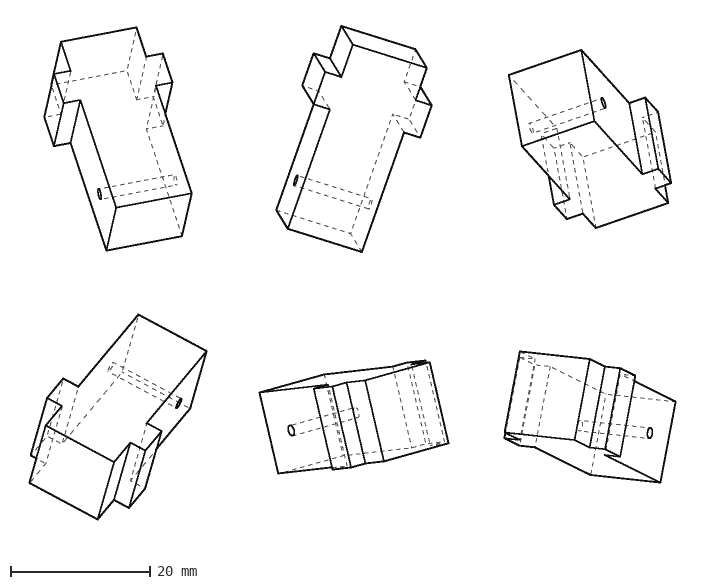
import cadquery as cq
import math

overall_x = 30.88
tilt = 22.9
height = 11.98
body_width = 11.4
flange_width = 16.4
flange_start = 5.0
flange_length = 5.0
hole_diameter = 1.5
hole_distance = 22.42

tilt_angle = math.radians(tilt)
length = (overall_x - height * math.sin(tilt_angle)) / math.cos(tilt_angle)


def block(start, block_length, width):
    """Box along X from start, centred on the X axis."""
    box = cq.Workplane("XY").box(block_length, width, height, centered=(False, True, True))
    return box.translate((start, 0, 0))


body = block(0, length, body_width)
flange = block(flange_start, flange_length, flange_width)

hole = (
    cq.Workplane("XZ")
    .center(hole_distance, 0)
    .circle(hole_diameter / 2)
    .extrude(body_width, both=True)
)

result = body.union(flange).cut(hole).rotate((0, 0, 0), (0, 1, 0), tilt)